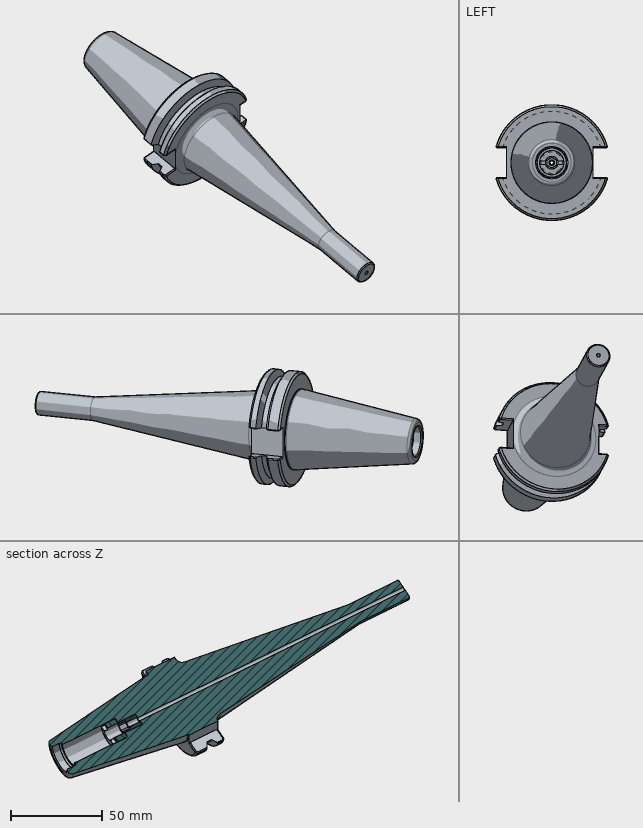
import cadquery as cq
import math

overall_length = 218.2
match_tolerance = 0.02

taper_ratio = 7 / 24
gauge_diameter = 44.5
gauge_x = 68.0
small_end_diameter = gauge_diameter - taper_ratio * gauge_x
small_end_fillet = 2.0

collar_diameter = 44.7
collar_start_x = 68.7

flange_diameter = 63.5
flange_start_x = 69.2
flange_end_x = 87.3
flange_chamfer = 1.0

groove_floor_diameter = 56.3
groove_center_x = 79.5
groove_width = 7.0
groove_wall_angle = 30

drive_slot_width = 16.2
front_slot_floor = 22.7
back_slot_floor = 24.9
drive_slot_chamfer = 0.7

cone_base_diameter = 39.7
cone_end_x = 186.2
nose_fillet = 4.0
tip_diameter = 13
tip_chamfer = 0.7

mouth_diameter = 17.7
counterbore_diameter = 16.4
counterbore_depth = 4.8
recess_diameter = 16.0
recess_depth = 6.1
coolant_diameter = 2.0
mouth_chamfer = (mouth_diameter - counterbore_diameter) / 2

plug_diameter = 13.3
plug_start_x = 30.5
plug_length = 8.7
plug_end_x = plug_start_x + plug_length
plug_slot_width = 2.0
plug_slot_depth = 2.2

screw_diameter = 7.0
screw_length = 11
screw_end_x = plug_end_x + screw_length
screw_hole_diameter = 3.0
socket_across_flats = 5.0
socket_depth = 4.4


def cylinder(diameter, start_x, end_x):
    return cq.Workplane("YZ").workplane(offset=start_x).circle(diameter / 2).extrude(end_x - start_x)


def turned(outline):
    """Solid of revolution about X from (x, radius) points."""
    return cq.Workplane("XY").polyline(outline).close().revolve(360, (0, 0, 0), (1, 0, 0))


def make_blank():
    """Turned outside of the holder, before the groove and the driving slots."""
    flange_radius = flange_diameter / 2
    tip_radius = tip_diameter / 2
    blank = turned([
        (0, 0),
        (0, small_end_diameter / 2),
        (gauge_x, gauge_diameter / 2),
        (collar_start_x, gauge_diameter / 2),
        (collar_start_x, collar_diameter / 2),
        (flange_start_x, collar_diameter / 2),
        (flange_start_x, flange_radius - flange_chamfer),
        (flange_start_x + flange_chamfer, flange_radius),
        (flange_end_x - flange_chamfer, flange_radius),
        (flange_end_x, flange_radius - flange_chamfer),
        (flange_end_x, cone_base_diameter / 2),
        (cone_end_x, tip_radius),
        (overall_length - tip_chamfer, tip_radius),
        (overall_length, tip_radius - tip_chamfer),
        (overall_length, 0),
    ])

    def is_cone_base(edge):
        box = edge.BoundingBox()
        at_flange_end = abs(box.center.x - flange_end_x) < match_tolerance and box.xlen < match_tolerance
        return at_flange_end and abs(box.ylen - cone_base_diameter) < match_tolerance

    blank = blank.edges().filter(is_cone_base).fillet(nose_fillet)
    return blank.faces("<X").edges().fillet(small_end_fillet)


def cut_drive_slots(body):
    """Slots at -Y (front) and +Y (back), with the outer rims of their walls chamfered."""
    slot_length = flange_end_x + nose_fillet - flange_start_x
    slot_depth = flange_diameter / 2
    for side, floor in ((-1, front_slot_floor), (1, back_slot_floor)):
        slot = cq.Workplane("XY").box(slot_length, slot_depth, drive_slot_width)
        middle_x = flange_start_x + slot_length / 2
        body = body.cut(slot.translate((middle_x, side * (floor + slot_depth / 2), 0)))

    def is_wall_rim(edge):
        box = edge.BoundingBox()
        on_wall = box.zlen < match_tolerance and abs(abs(box.center.z) - drive_slot_width / 2) < match_tolerance
        floor_distance = min(abs(box.center.y + front_slot_floor), abs(box.center.y - back_slot_floor))
        on_floor = box.ylen < match_tolerance and floor_distance < match_tolerance
        return on_wall and not on_floor

    return body.edges().filter(is_wall_rim).chamfer(drive_slot_chamfer)


def cut_groove(body):
    outer_radius = flange_diameter / 2
    floor_radius = groove_floor_diameter / 2
    half_width = groove_width / 2
    wall_run = (outer_radius - floor_radius) * math.tan(math.radians(groove_wall_angle))
    return body.cut(turned([
        (groove_center_x - half_width, outer_radius),
        (groove_center_x - half_width + wall_run, floor_radius),
        (groove_center_x + half_width - wall_run, floor_radius),
        (groove_center_x + half_width, outer_radius),
    ]))


def cut_bore(body):
    body = body.cut(turned([
        (0, 0),
        (0, mouth_diameter / 2),
        (mouth_chamfer, counterbore_diameter / 2),
        (counterbore_depth, counterbore_diameter / 2),
        (counterbore_depth, recess_diameter / 2),
        (recess_depth, recess_diameter / 2),
        (recess_depth, plug_diameter / 2),
        (plug_end_x, plug_diameter / 2),
        (plug_end_x, screw_diameter / 2),
        (screw_end_x, screw_diameter / 2),
        (screw_end_x, 0),
    ]))
    return body.cut(cylinder(coolant_diameter, screw_end_x, overall_length))


def make_holder():
    return cut_bore(cut_groove(cut_drive_slots(make_blank())))


def make_plug():
    slot = cq.Workplane("XY").box(plug_slot_depth, plug_diameter, plug_slot_width)
    slot = slot.translate((plug_start_x + plug_slot_depth / 2, 0, 0))
    plug = cylinder(plug_diameter, plug_start_x, plug_end_x).cut(slot)
    return plug.cut(cylinder(screw_diameter, plug_start_x, plug_end_x))


def make_screw():
    across_corners = socket_across_flats / math.cos(math.pi / 6)
    socket_plane = cq.Workplane("YZ").workplane(offset=plug_end_x)
    socket = socket_plane.transformed(rotate=(0, 0, 90)).polygon(6, across_corners).extrude(socket_depth)
    screw = cylinder(screw_diameter, plug_end_x, screw_end_x).cut(socket)
    return screw.cut(cylinder(screw_hole_diameter, plug_end_x, screw_end_x))


holder = make_holder()
plug = make_plug()
screw = make_screw()
result = cq.Compound.makeCompound([holder.val(), plug.val(), screw.val()])